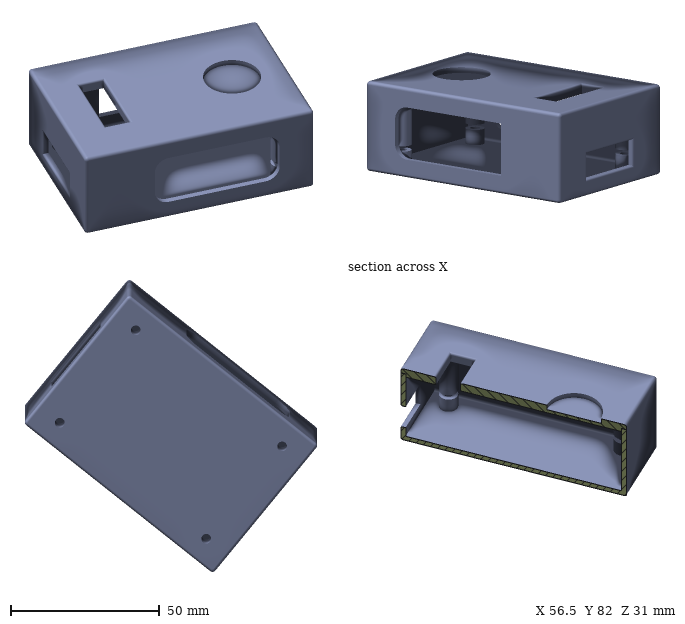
import cadquery as cq
width = 56.5
length = 82.05
height = 31.0
edge_radius = 1.2
bottom_edge_radius = 1.0

wall = 2.0
floor_thickness = wall
lid_plate = wall
lid_plug = 1.55
floor_fillet = 1.0
seam_z = height - lid_plate
lid_underside_z = seam_z - lid_plug
cavity_width = width - 2 * wall
cavity_length = length - 2 * wall

window_length = 44.8
window_height = 18.05
window_y = 6.2
window_z = 15.3
window_radius = 5.0

slot_x = -0.4
front_slot_length = 25.7
front_slot_height = 8.95
front_slot_z = 10.2
front_rim_radius = 0.8
lid_slot_length = 25.9
lid_slot_width = 8.8
lid_slot_y = -23.7
lid_rim_radius = 0.7

recess_diameter = 19.6
recess_depth = 2.0
recess_y = 21.9

post_diameter = 6.6
post_hole_diameter = 3.3
post_x = 20.35
post_y = 31.7
base_post_top_z = 7.2
board_gap = 1.8
lid_post_bottom_z = base_post_top_z + board_gap
post_centres = [(x, y) for x in (-post_x, post_x) for y in (-post_y, post_y)]


def rounded_block():
    """Outside shape of the closed enclosure."""
    block = cq.Workplane("XY").box(width, length, height, centered=(True, True, False))
    block = block.edges("|Z").fillet(edge_radius)
    block = block.faces(">Z").edges().fillet(edge_radius)
    return block.faces("<Z").edges().fillet(bottom_edge_radius)


def slab(x_size, y_size, bottom_z, top_z):
    """Rectangular block centred on the Z axis between two heights."""
    plane = cq.Workplane("XY", origin=(0, 0, bottom_z))
    return plane.rect(x_size, y_size).extrude(top_z - bottom_z)


def cylinders(diameter, bottom_z, top_z):
    """One upright cylinder at each post centre."""
    plane = cq.Workplane("XY", origin=(0, 0, bottom_z)).pushPoints(post_centres)
    return plane.circle(diameter / 2).extrude(top_z - bottom_z)


def cavity():
    """Inside of the base, rounded along the foot of the two long walls."""
    space = slab(cavity_width, cavity_length, floor_thickness, seam_z)
    return space.faces("<Z").edges("|Y").fillet(floor_fillet)


def side_window(outer_x, inward, rounded_edges):
    """Opening through one long wall, rounded at the chosen corners."""
    plane = cq.Workplane("YZ", origin=(outer_x, window_y, window_z))
    opening = plane.rect(window_length, window_height).extrude(inward * wall)
    return opening.edges(rounded_edges).fillet(window_radius)


def round_slot_rim(body, outer_face, radius):
    """Round the outer rim of the slot, the only inner loop of straight edges on the face."""
    face = body.faces(outer_face).val()
    loops = [w for w in face.innerWires() if all(e.geomType() == "LINE" for e in w.Edges())]
    return body.newObject(loops[0].Edges()).fillet(radius)


def make_base():
    base = rounded_block().intersect(slab(width, length, 0, seam_z)).cut(cavity())
    slot_plane = cq.Workplane("XZ", origin=(slot_x, -length / 2, front_slot_z))
    base = base.cut(slot_plane.rect(front_slot_length, front_slot_height).extrude(-wall))
    base = round_slot_rim(base, "<Y", front_rim_radius)
    base = base.cut(side_window(-width / 2, 1, "|X and >Y"))
    base = base.cut(side_window(width / 2, -1, "|X"))
    base = base.union(cylinders(post_diameter, floor_thickness, base_post_top_z))
    return base.cut(cylinders(post_hole_diameter, 0, base_post_top_z))


def make_lid():
    lid = rounded_block().intersect(slab(width, length, seam_z, height))
    lid = lid.union(slab(cavity_width, cavity_length, lid_underside_z, seam_z))
    slot_plane = cq.Workplane("XY", origin=(slot_x, lid_slot_y, height))
    lid = lid.cut(slot_plane.rect(lid_slot_length, lid_slot_width).extrude(lid_underside_z - height))
    lid = round_slot_rim(lid, ">Z", lid_rim_radius)
    recess_plane = cq.Workplane("XY", origin=(0, recess_y, height))
    lid = lid.cut(recess_plane.circle(recess_diameter / 2).extrude(-recess_depth))
    return lid.union(cylinders(post_diameter, lid_post_bottom_z, lid_underside_z))


base = make_base()
lid = make_lid()
result = cq.Compound.makeCompound([base.val(), lid.val()])